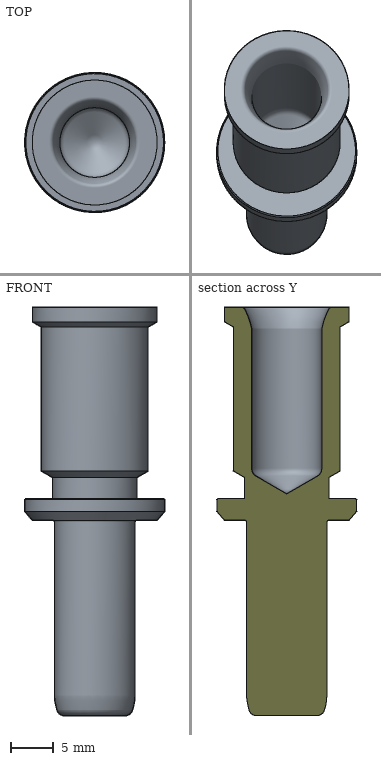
import cadquery as cq
import math


total_height = 48.1
rim_thickness = 1.75
body_end_depth = 19.3
flange_top_z = 25.6
flange_thickness = 2.6

rim_radius = 7.35
body_radius = 6.3
neck_radius = 5.0
flange_radius = 8.25
shaft_radius = 4.75

cone_slope = math.tan(math.radians(30))
flange_top_break = 0.15
flange_chamfer_width = 0.9
flange_chamfer_height = 1.05
shaft_root_fillet = 0.2

crown_top_z = 2.35
crown_radius = 5.0
tip_rounding = 1.0

bore_radius = 4.1
bore_depth = 19.0
bell_mouth_radius = 4.9
bell_radius = 9.0
bell_mouth_angle = math.radians(27)
lip_radius = 0.5
bore_corner_radius = 1.0
cone_angle = 120.0


def point_on_circle(center, radius, angle):
    """Point of a circle in the (radius, Z) half-plane."""
    return (center[0] + radius * math.cos(angle), center[1] + radius * math.sin(angle))


def make_outer_body():
    """Revolve the outer profile, traced from the tip up to the top face."""
    rim_bottom_z = total_height - rim_thickness
    body_top_z = rim_bottom_z - (rim_radius - body_radius) * cone_slope
    body_bottom_z = total_height - body_end_depth
    neck_top_z = body_bottom_z - (body_radius - neck_radius) * cone_slope
    flange_bottom_z = flange_top_z - flange_thickness

    crown_center = (shaft_radius - crown_radius, crown_top_z)
    blend_angle = math.asin((tip_rounding - crown_top_z) / (crown_radius - tip_rounding))
    crown_mid = point_on_circle(crown_center, crown_radius, blend_angle / 2)
    crown_end = point_on_circle(crown_center, crown_radius, blend_angle)

    tip_center = point_on_circle(crown_center, crown_radius - tip_rounding, blend_angle)
    tip_mid = point_on_circle(tip_center, tip_rounding, (blend_angle - math.pi / 2) / 2)
    tip_end = (tip_center[0], 0)

    root_center = (shaft_radius + shaft_root_fillet, flange_bottom_z - shaft_root_fillet)
    root_mid = point_on_circle(root_center, shaft_root_fillet, math.radians(135))

    profile = (
        cq.Workplane("XZ")
        .moveTo(0, 0)
        .lineTo(*tip_end)
        .threePointArc(tip_mid, crown_end)
        .threePointArc(crown_mid, (shaft_radius, crown_top_z))
        .lineTo(shaft_radius, root_center[1])
        .threePointArc(root_mid, (root_center[0], flange_bottom_z))
        .lineTo(flange_radius - flange_chamfer_width, flange_bottom_z)
        .lineTo(flange_radius, flange_bottom_z + flange_chamfer_height)
        .lineTo(flange_radius, flange_top_z - flange_top_break)
        .lineTo(flange_radius - flange_top_break, flange_top_z)
        .lineTo(neck_radius, flange_top_z)
        .lineTo(neck_radius, neck_top_z)
        .lineTo(body_radius, body_bottom_z)
        .lineTo(body_radius, body_top_z)
        .lineTo(rim_radius, rim_bottom_z)
        .lineTo(rim_radius, total_height)
        .lineTo(0, total_height)
        .close()
    )
    return profile.revolve(360, (0, 0, 0), (0, 1, 0))


def make_socket():
    """Revolve the socket: rounded lip, bell mouth, straight bore and conical bottom."""
    mouth_direction = math.pi - bell_mouth_angle
    lip_center = (
        bell_mouth_radius + lip_radius * math.cos(bell_mouth_angle),
        total_height - lip_radius,
    )
    lip_mid = point_on_circle(lip_center, lip_radius, (mouth_direction + math.pi / 2) / 2)
    bell_mouth = point_on_circle(lip_center, lip_radius, mouth_direction)

    bell_center = point_on_circle(bell_mouth, bell_radius, -bell_mouth_angle)
    throat_direction = math.pi - math.acos((bell_center[0] - bore_radius) / bell_radius)
    bell_throat = point_on_circle(bell_center, bell_radius, throat_direction)
    bell_mid = point_on_circle(bell_center, bell_radius, (mouth_direction + throat_direction) / 2)

    wall_end_z = total_height - bore_depth
    corner_center = (bore_radius - bore_corner_radius, wall_end_z)
    cone_half_angle = math.radians(cone_angle / 2)
    corner_mid = point_on_circle(corner_center, bore_corner_radius, -cone_half_angle / 2)
    corner_end = point_on_circle(corner_center, bore_corner_radius, -cone_half_angle)
    apex_z = corner_end[1] - corner_end[0] / math.tan(cone_half_angle)

    profile = (
        cq.Workplane("XZ")
        .moveTo(0, apex_z)
        .lineTo(*corner_end)
        .threePointArc(corner_mid, (bore_radius, wall_end_z))
        .lineTo(*bell_throat)
        .threePointArc(bell_mid, bell_mouth)
        .threePointArc(lip_mid, (lip_center[0], total_height))
        .lineTo(0, total_height)
        .close()
    )
    return profile.revolve(360, (0, 0, 0), (0, 1, 0))


result = make_outer_body().cut(make_socket())